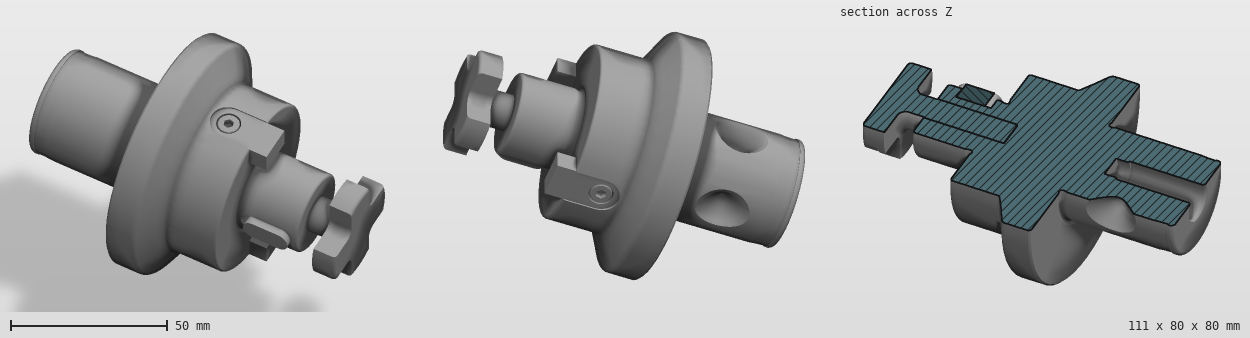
import cadquery as cq
import math


SHANK_LIP_END = 2.1
SHANK_GROOVE_END = 2.4
SHANK_LEAD_END = 8.0
FLANGE_BACK = 40.0
FLANGE_CORNER = 50.1
SEAT_FACE = 74.0
SPIGOT_END = 95.0

FLANGE_DIAMETER = 80.0
SHANK_R = 18.0
SHANK_NECK_R = 17.6
SHANK_END_FILLET = 1.4
FLANGE_R = FLANGE_DIAMETER / 2
HUB_R = 29.0
SPIGOT_R = 13.5
CONE_ANGLE = 60.0
FLANGE_CHAMFER = 0.7
FLANGE_FILLET = 2.0
HUB_FILLET = 1.0
HUB_END_FILLET = 0.9
SPIGOT_FILLET = 1.0

RELIEF_LENGTH = 2.2
RELIEF_DEPTH = SHANK_R - SHANK_NECK_R
RELIEF_RAMP = 1.1
RELIEF_FILLET = 0.9
RELIEF_FACE_WIDTH = 1.7
RELIEF_FACE_DEPTH = 0.3

BORE_R = 5.9
BORE_MOUTH_R = 6.5
BORE_DEPTH = 26.6
PILOT_R = 5.3
PILOT_DEPTH = 31.1

DIMPLE_X = 22.0
DIMPLE_R = 8.9

DRIVE_KEY_WIDTH = 12.0
DRIVE_KEY_X = 63.3
DRIVE_KEY_END = 80.3
DRIVE_KEY_BASE = 20.9
DRIVE_KEY_TOP = 27.9
DRIVE_KEY_ANGLES = (0, 180)

SCREW_HEAD_R = 3.5
SCREW_HEAD_HEIGHT = 4.0
SCREW_HEAD_CHAMFER = 0.2
SCREW_R = 2.0
SCREW_LENGTH = 10.0
SCREW_BORE_R = 4.0
HEX_ACROSS_FLATS = 3.0
HEX_TURN = 45.0
HEX_DEPTH = 2.0
HEX_TIP_DEPTH = 1.0

FEATHER_WIDTH = 7.0
FEATHER_START = 76.9
FEATHER_END = 93.0
FEATHER_TOP = 15.7
FEATHER_BASE = 8.7
KEYWAY_START = 74.8

BOLT_R = 6.0
BOLT_TIP = 66.6
BOLT_HEAD_START = 103.0
BOLT_HEAD_END = 111.0
BOLT_HEAD_R = 17.5
BOLT_HEAD_FILLET = 1.3
BOLT_NECK_FILLET = 2.7
BOLT_ARM_WIDTH = 11.8
BOLT_ARM_FILLET = 3.0


def x_cylinder(radius, start, end):
    """Cylinder along the X axis from X = start to X = end."""
    return cq.Workplane("YZ", origin=(start, 0, 0)).circle(radius).extrude(end - start)


def turned(profile):
    """Solid made by turning a profile in the XY plane around the X axis."""
    return profile.close().revolve(360, (0, 0, 0), (1, 0, 0))


def arc_bend(fillet):
    """Inset of a quarter arc's middle from either of the two faces it joins."""
    return fillet * (1 - math.sqrt(0.5))


def relief_points(face_x, radius, away):
    """Named profile points of a relief groove, from the cylinder to the flat face.

    The cylinder leaves the flat face in the X direction `away` (+1 or -1).
    """
    floor_r = radius - RELIEF_DEPTH
    deep_x = face_x - away * RELIEF_FACE_DEPTH
    bend = arc_bend(RELIEF_FILLET)
    return {
        "ramp": (face_x + away * RELIEF_LENGTH, radius),
        "floor": (face_x + away * (RELIEF_LENGTH - RELIEF_RAMP), floor_r),
        "arc_start": (deep_x + away * RELIEF_FILLET, floor_r),
        "arc_middle": (deep_x + away * bend, floor_r + bend),
        "arc_end": (deep_x, floor_r + RELIEF_FILLET),
        "face": (face_x, radius + RELIEF_FACE_WIDTH),
    }


def arbor_blank():
    """Turned outer shape of shank, flange, hub and spigot, with its edges rounded."""
    cone_end = FLANGE_CORNER + (FLANGE_R - HUB_R) / math.tan(math.radians(CONE_ANGLE))
    back = relief_points(FLANGE_BACK, SHANK_R, -1)
    seat = relief_points(SEAT_FACE, SPIGOT_R, 1)
    lip_bend = arc_bend(SHANK_END_FILLET)
    spigot_bend = arc_bend(SPIGOT_FILLET)
    hub_bend = arc_bend(HUB_END_FILLET)

    profile = (
        cq.Workplane("XY")
        .moveTo(0, 0)
        .lineTo(0, SHANK_R - SHANK_END_FILLET)
        .threePointArc((lip_bend, SHANK_R - lip_bend), (SHANK_END_FILLET, SHANK_R))
        .lineTo(SHANK_LIP_END, SHANK_R)
        .lineTo(SHANK_LIP_END, SHANK_NECK_R)
        .lineTo(SHANK_GROOVE_END, SHANK_NECK_R)
        .lineTo(SHANK_LEAD_END, SHANK_R)
        .lineTo(*back["ramp"])
        .lineTo(*back["floor"])
        .lineTo(*back["arc_start"])
        .threePointArc(back["arc_middle"], back["arc_end"])
        .lineTo(*back["face"])
        .lineTo(FLANGE_BACK, FLANGE_R - FLANGE_CHAMFER)
        .lineTo(FLANGE_BACK + FLANGE_CHAMFER, FLANGE_R)
        .lineTo(FLANGE_CORNER, FLANGE_R)
        .lineTo(cone_end, HUB_R)
        .lineTo(SEAT_FACE - HUB_END_FILLET, HUB_R)
        .threePointArc((SEAT_FACE - hub_bend, HUB_R - hub_bend), (SEAT_FACE, HUB_R - HUB_END_FILLET))
        .lineTo(*seat["face"])
        .lineTo(*seat["arc_end"])
        .threePointArc(seat["arc_middle"], seat["arc_start"])
        .lineTo(*seat["floor"])
        .lineTo(*seat["ramp"])
        .lineTo(SPIGOT_END - SPIGOT_FILLET, SPIGOT_R)
        .threePointArc(
            (SPIGOT_END - spigot_bend, SPIGOT_R - spigot_bend),
            (SPIGOT_END, SPIGOT_R - SPIGOT_FILLET),
        )
        .lineTo(SPIGOT_END, 0)
    )
    blank = turned(profile)
    blank = round_circle(blank, FLANGE_CORNER, FLANGE_R, FLANGE_FILLET)
    return round_circle(blank, cone_end, HUB_R, HUB_FILLET)


def round_circle(body, x, radius, fillet):
    """Fillet the circular edge of the given radius at station x."""
    tolerance = 0.1
    edge = cq.selectors.BoxSelector(
        (x - tolerance, -radius - tolerance, -radius - tolerance),
        (x + tolerance, radius + tolerance, radius + tolerance),
        boundingbox=True,
    )
    return body.edges(edge).fillet(fillet)


def shank_bore():
    """Chamfered blind bore with a smaller pilot hole at its bottom."""
    chamfer = BORE_MOUTH_R - BORE_R
    return turned(
        cq.Workplane("XY")
        .moveTo(0, 0)
        .lineTo(0, BORE_MOUTH_R)
        .lineTo(chamfer, BORE_R)
        .lineTo(BORE_DEPTH, BORE_R)
        .lineTo(BORE_DEPTH, PILOT_R)
        .lineTo(PILOT_DEPTH, PILOT_R)
        .lineTo(PILOT_DEPTH, 0)
    )


def dimple(direction):
    """90 degree cone that opens outward through the shank surface in the given direction."""
    apex_distance = SHANK_R - DIMPLE_R
    height = 2 * DIMPLE_R
    apex = cq.Vector(DIMPLE_X, 0, 0) + direction * apex_distance
    return cq.Workplane(obj=cq.Solid.makeCone(0, height, height, apex, direction))


def drive_key_outline():
    """Key block with a round end at the screw, square at the driving end."""
    length = DRIVE_KEY_END - DRIVE_KEY_X
    half_width = DRIVE_KEY_WIDTH / 2
    return (
        cq.Workplane("XY", origin=(DRIVE_KEY_X, 0, DRIVE_KEY_BASE))
        .moveTo(length, -half_width)
        .lineTo(length, half_width)
        .lineTo(0, half_width)
        .threePointArc((-half_width, 0), (0, -half_width))
        .close()
    )


def screw_cylinder(radius, top, depth):
    """Cylinder on the screw axis, reaching down from Z = top."""
    return cq.Workplane("XY", origin=(DRIVE_KEY_X, 0, top)).circle(radius).extrude(-depth)


def around_axis(body, angle):
    """Copy of a body turned around the X axis."""
    return body.rotate((0, 0, 0), (1, 0, 0), angle)


def screw_shank():
    """Threaded part of a key screw, below its head."""
    return screw_cylinder(SCREW_R, DRIVE_KEY_TOP - SCREW_HEAD_HEIGHT, SCREW_LENGTH)


def make_drive_key(angle):
    """Drive key with a counterbored screw hole."""
    key = drive_key_outline().extrude(DRIVE_KEY_TOP - DRIVE_KEY_BASE)
    key = key.cut(screw_cylinder(SCREW_BORE_R, DRIVE_KEY_TOP, SCREW_HEAD_HEIGHT))
    key = key.cut(screw_shank())
    return around_axis(key, angle)


def make_key_screw(angle):
    """Socket-head screw whose hexagon socket ends in a conical tip."""
    hex_diameter = HEX_ACROSS_FLATS / math.cos(math.pi / 6)
    head = screw_cylinder(SCREW_HEAD_R, DRIVE_KEY_TOP, SCREW_HEAD_HEIGHT)
    head = head.faces(">Z").edges().chamfer(SCREW_HEAD_CHAMFER)

    top = cq.Workplane("XY", origin=(DRIVE_KEY_X, 0, DRIVE_KEY_TOP))
    socket_depth = HEX_DEPTH + HEX_TIP_DEPTH
    tip_limit = (
        cq.Workplane("XZ", origin=(DRIVE_KEY_X, 0, DRIVE_KEY_TOP))
        .lineTo(hex_diameter / 2, 0)
        .lineTo(hex_diameter / 2, -HEX_DEPTH)
        .lineTo(0, -socket_depth)
        .close()
        .revolve(360, (0, 0, 0), (0, 1, 0))
    )
    hexagon = top.transformed(rotate=(0, 0, HEX_TURN)).polygon(6, hex_diameter)
    socket = hexagon.extrude(-socket_depth).intersect(tip_limit)
    return around_axis(head.union(screw_shank()).cut(socket), angle)


def feather_block(start):
    """Round-ended block on the -Y side, from X = start to the key end."""
    length = FEATHER_END - start
    middle = (FEATHER_END + start) / 2
    return (
        cq.Workplane("XZ", origin=(middle, -FEATHER_BASE, 0))
        .slot2D(length, FEATHER_WIDTH)
        .extrude(FEATHER_TOP - FEATHER_BASE)
    )


def make_arbor():
    """Arbor with its bores, shank dimples, key slots and keyway."""
    arbor = arbor_blank().cut(shank_bore())
    for direction in (cq.Vector(0, 1, 0), cq.Vector(0, 0, -1)):
        arbor = arbor.cut(dimple(direction))

    key_slot = drive_key_outline().extrude(HUB_R - DRIVE_KEY_BASE)
    for angle in DRIVE_KEY_ANGLES:
        arbor = arbor.cut(around_axis(key_slot, angle))
        arbor = arbor.cut(around_axis(screw_shank(), angle))

    arbor = arbor.cut(feather_block(KEYWAY_START))
    return arbor.cut(x_cylinder(BOLT_R, BOLT_TIP, SPIGOT_END))


def bolt_head():
    """Four-armed head with rounded inner corners, turned tips and a rounded outer end."""
    depth = BOLT_HEAD_END - BOLT_HEAD_START
    plane = cq.Workplane("YZ", origin=(BOLT_HEAD_START, 0, 0))
    arm_length = 2 * (BOLT_HEAD_R + BOLT_ARM_FILLET)
    cross = plane.rect(BOLT_ARM_WIDTH, arm_length).extrude(depth)
    cross = cross.union(plane.rect(arm_length, BOLT_ARM_WIDTH).extrude(depth))
    inner_corner = cq.selectors.BoxSelector(
        (BOLT_HEAD_START, -BOLT_ARM_WIDTH, -BOLT_ARM_WIDTH),
        (BOLT_HEAD_END, BOLT_ARM_WIDTH, BOLT_ARM_WIDTH),
    )
    cross = cross.edges("|X").edges(inner_corner).fillet(BOLT_ARM_FILLET)
    envelope = x_cylinder(BOLT_HEAD_R, BOLT_HEAD_START, BOLT_HEAD_END)
    return cross.intersect(envelope.faces(">X").edges().fillet(BOLT_HEAD_FILLET))


def make_draw_bolt():
    """Draw bolt whose shank flares into the underside of the head."""
    bend = arc_bend(BOLT_NECK_FILLET)
    shank = turned(
        cq.Workplane("XY")
        .moveTo(BOLT_TIP, 0)
        .lineTo(BOLT_TIP, BOLT_R)
        .lineTo(BOLT_HEAD_START - BOLT_NECK_FILLET, BOLT_R)
        .threePointArc(
            (BOLT_HEAD_START - bend, BOLT_R + bend),
            (BOLT_HEAD_START, BOLT_R + BOLT_NECK_FILLET),
        )
        .lineTo(BOLT_HEAD_START, 0)
    )
    return shank.union(bolt_head())


arbor = make_arbor()
drive_keys = [make_drive_key(angle) for angle in DRIVE_KEY_ANGLES]
key_screws = [make_key_screw(angle) for angle in DRIVE_KEY_ANGLES]
feather_key = feather_block(FEATHER_START)
draw_bolt = make_draw_bolt()

result = cq.Compound.makeCompound(
    [
        arbor.val(),
        *[key.val() for key in drive_keys],
        *[screw.val() for screw in key_screws],
        feather_key.val(),
        draw_bolt.val(),
    ]
)